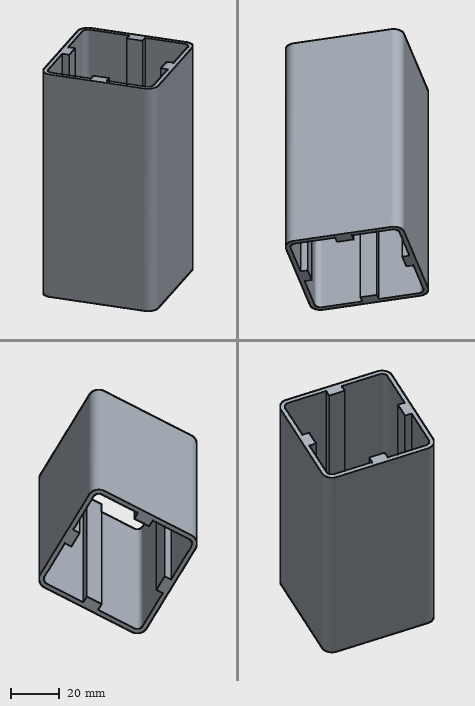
import cadquery as cq

side = 50.0
height = 100.0
wall = 2.0
outer_corner_radius = 4.5
inner_corner_radius = outer_corner_radius - wall

rib_width = 7.0
rib_depth = 3.0


def rounded_bar(width, corner_radius):
    """Full-height square bar with rounded vertical edges."""
    return cq.Workplane("XY").rect(width, width).extrude(height).edges("|Z").fillet(corner_radius)


def inner_rib(angle):
    """Rib on the +X inner wall, rooted halfway into the wall, then turned about Z."""
    root = wall / 2
    inner_face = side / 2 - wall
    center_x = inner_face + (root - rib_depth) / 2
    rib = cq.Workplane("XY").center(center_x, 0).rect(rib_depth + root, rib_width).extrude(height)
    return rib.rotate((0, 0, 0), (0, 0, 1), angle)


bore_width = side - 2 * wall
result = rounded_bar(side, outer_corner_radius).cut(rounded_bar(bore_width, inner_corner_radius))

for angle in (0, 90, 180, 270):
    result = result.union(inner_rib(angle))